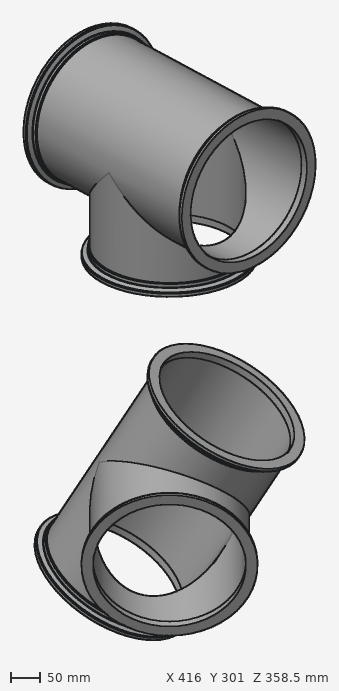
import cadquery as cq

pipe_outer_radius = 273 / 2
bore_radius = 261 / 2
run_half_length = 416 / 2
branch_reach = run_half_length

flange_length = 20.0
pipe_inset = 14.0
rim_radius = 301 / 2
rim_land = 6.0
rim_bevel_length = 2.5
rim_bevel_drop = 1.0
neck_radius = 279 / 2
neck_foot = 11.75
neck_bevel = 1.0


def make_flange():
    """Flange with its sealing face on the XY plane and its neck pointing along +Z."""
    return (
        cq.Workplane("XZ")
        .moveTo(bore_radius, 0)
        .lineTo(rim_radius, 0)
        .lineTo(rim_radius, rim_land)
        .lineTo(rim_radius - rim_bevel_drop, rim_land + rim_bevel_length)
        .lineTo(neck_radius + neck_bevel, neck_foot)
        .lineTo(neck_radius, neck_foot + neck_bevel)
        .lineTo(neck_radius, flange_length - neck_bevel)
        .lineTo(neck_radius - neck_bevel, flange_length)
        .lineTo(pipe_outer_radius, flange_length)
        .lineTo(pipe_outer_radius, pipe_inset)
        .lineTo(bore_radius, pipe_inset)
        .close()
        .revolve(360, (0, 0, 0), (0, 1, 0))
    )


def make_tee_solid(radius):
    """Run and branch cylinders of one radius, joined where their axes cross."""
    run = cq.Workplane("YZ").circle(radius).extrude(run_half_length - pipe_inset, both=True)
    branch = cq.Workplane("XY").circle(radius).extrude(-(branch_reach - pipe_inset))
    return run.union(branch)


tee = make_tee_solid(pipe_outer_radius).cut(make_tee_solid(bore_radius))

flange_places = [
    (90, (-run_half_length, 0, 0)),
    (-90, (run_half_length, 0, 0)),
    (0, (0, 0, -branch_reach)),
]
flanges = [
    make_flange().rotate((0, 0, 0), (0, 1, 0), angle).translate(centre)
    for angle, centre in flange_places
]

result = cq.Compound.makeCompound([tee.val(), *[flange.val() for flange in flanges]])